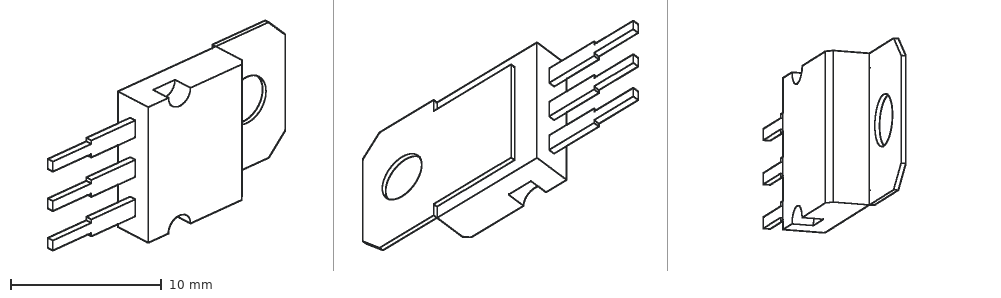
import cadquery as cq

total_length = 22.7
width = 10.3
thickness = 3.3

tab_thickness = 0.35
tab_corner_chamfer = 1.5
tab_inset_width = 8.3
tab_end_margin = 2.0
tab_hole_diameter = 3.5
tab_hole_from_end = 3.5

body_length = 8.9
body_chamfer = 0.4

lead_length = 7.5
lead_wide_length = 4.0
lead_wide_width = 1.3
lead_narrow_width = 0.77
lead_thickness = 0.5
lead_pitch = 3.0
lead_offset = 1.55

notch_diameter = 2.0
notch_depth = 1.5
notch_from_body_end = 2.84

body_start = lead_length
body_end = body_start + body_length


def block(x_start, x_end, y_start, y_end, z_width, z_center=0):
    """Box between the given X and Y limits, centred in Z on z_center."""
    return (
        cq.Workplane("XY")
        .box(x_end - x_start, y_end - y_start, z_width, centered=(False, False, True))
        .translate((x_start, y_start, z_center))
    )


def cylinder_along_x(diameter, x_start, x_end, y, z):
    return (
        cq.Workplane("YZ", origin=(x_start, y, z))
        .circle(diameter / 2)
        .extrude(x_end - x_start)
    )


def make_body():
    body = block(tab_thickness, thickness, body_start, body_end, width)
    body = body.faces(">Y").edges(">X").chamfer(body_chamfer)
    for side in (-1, 1):
        body = body.cut(
            cylinder_along_x(
                notch_diameter,
                thickness - notch_depth,
                thickness,
                body_start + notch_from_body_end,
                side * width / 2,
            )
        )
    return body


def make_tab():
    wide = block(0, tab_thickness, body_end, total_length, width)
    wide = wide.faces(">Y").edges("|X").chamfer(tab_corner_chamfer)
    inset = block(0, tab_thickness, body_start + tab_end_margin, body_end, tab_inset_width)
    hole_y = total_length - tab_hole_from_end
    return wide.union(inset).cut(
        cylinder_along_x(tab_hole_diameter, 0, tab_thickness, hole_y, 0)
    )


def make_lead(z):
    back = lead_offset + lead_thickness
    shoulder = lead_length - lead_wide_length
    wide = block(lead_offset, back, shoulder, lead_length, lead_wide_width, z)
    tip = block(lead_offset, back, 0, shoulder, lead_narrow_width, z)
    return wide.union(tip)


result = make_body().union(make_tab())
for position in (-1, 0, 1):
    result = result.union(make_lead(position * lead_pitch))